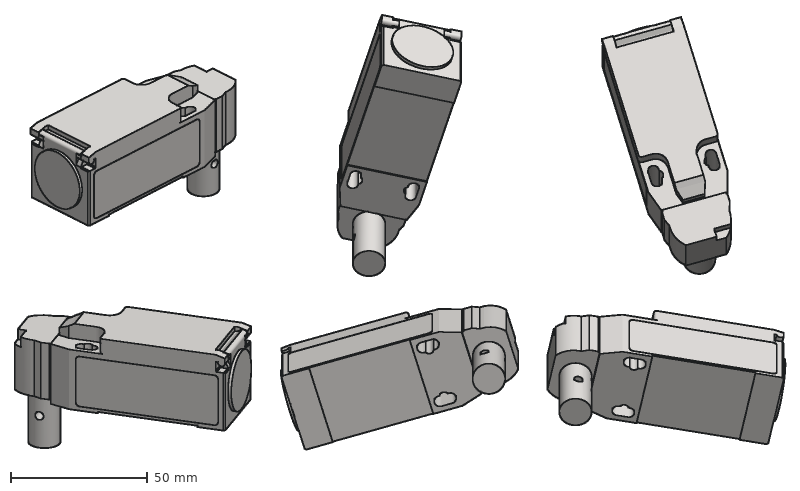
import cadquery as cq
import math


width = 30.2
half_width = width / 2
height = 30.15
length = 68.3
shoulder_z = 24.1
taper_y = 60.3
rear_half_width = 12.6
cover_end_y = 48.5
cover_corner_radius = 1.0

tongue_half_width = 5.5
tongue_tip_half_width = 4.2
tongue_tip_y = 67.7
tongue_neck_y = 63.7
tongue_root_radius = 4.7
tongue_slope_y = 61.5
tongue_neck_z = 29.0
tongue_tip_z = 27.1

slot_x = 11.0
slot_y = 54.9
slot_width = 4.1
slot_length = 8.3
slot_lobe_offset = 1.4
slot_lobe_radius = 1.7

label_y_min = 2.6
label_y_max = 57.75
label_z_min = 1.7
label_z_max = 21.8
label_radius = 1.5
label_depth = 0.1
relief_y_min = 10.65
relief_y_max = 49.15
relief_depth = 0.5

front_slope_length = 3.6
front_slope_drop = 1.0
front_edge_chamfer = 0.6
barrel_radius = 1.4
barrel_z = 27.2
notch_inner_x = 10.9
notch_depth = 3.6
notch_floor_z = 23.25
notch_roof_z = 27.3
notch_lip = 0.4
pocket_inner_x = 8.5
pocket_top_z = 28.1
front_clearance = 0.85
ledge_mid_y = 0.715
ledge_mid_z = 24.7
hinge_slot_depth = 5.0
hinge_floor_end_y = 4.0
hinge_floor_z = 28.3
hinge_floor_radius = 1.3
ridge_y = 2.0
ridge_z = 29.6
nose_y = 0.7
nose_z = 29.1
disc_diameter = 23.2
disc_thickness = 1.3
disc_z = 14.05

head_end_y = 83.9
head_bottom_z = 1.5
head_end_half_width = 7.75
head_mid_half_width = 11.4
head_base_half_width = 12.5
head_neck_half_width = 12.2
head_neck_length = 0.6
head_flare_y = 72.2
head_arc_y = 76.5
head_arc_mid = (10.4, 80.4)
head_notch_x = 4.0
head_notch_length = 3.2
head_notch_height = 4.1

shaft_diameter = 11.9
shaft_y = 75.0
shaft_bottom_z = -21.55
cross_hole_diameter = 3.2
cross_hole_z = -8.7

both_sides = (-1, 1)


def box(x_min, x_max, y_min, y_max, z_min, z_max):
    """Axis-aligned box between the given limits."""
    size = (x_max - x_min, y_max - y_min, z_max - z_min)
    return cq.Workplane("XY").box(*size, centered=False).translate((x_min, y_min, z_min))


def across(profile, x_min, x_max):
    """Extrude a closed YZ profile along X between two limits."""
    return profile.extrude(x_max - x_min).translate((x_min, 0, 0))


def mirrored(half):
    """A left-hand feature together with its mirror image across X = 0."""
    return half.union(half.mirror("YZ"))


def lower_block():
    outline = [
        (-half_width, 0),
        (half_width, 0),
        (half_width, taper_y),
        (rear_half_width, length),
        (-rear_half_width, length),
        (-half_width, taper_y),
    ]
    return cq.Workplane("XY").polyline(outline).close().extrude(shoulder_z)


def upper_block():
    """Full-width upper part with its tongue, sloped at both ends."""
    outline = [
        (-half_width, 0),
        (half_width, 0),
        (half_width, cover_end_y),
        (tongue_half_width, cover_end_y),
        (tongue_half_width, tongue_neck_y),
        (tongue_tip_half_width, tongue_tip_y),
        (-tongue_tip_half_width, tongue_tip_y),
        (-tongue_half_width, tongue_neck_y),
        (-tongue_half_width, cover_end_y),
        (-half_width, cover_end_y),
    ]
    block = cq.Workplane("XY").polyline(outline).close().extrude(height - shoulder_z)
    block = block.translate((0, 0, shoulder_z))
    for x, radius in ((tongue_half_width, tongue_root_radius), (half_width, cover_corner_radius)):
        for side in both_sides:
            corner = cq.selectors.NearestToPointSelector((side * x, cover_end_y, (shoulder_z + height) / 2))
            block = block.edges("|Z").edges(corner).fillet(radius)

    side_outline = [
        (0, shoulder_z),
        (0, height - front_slope_drop),
        (front_slope_length, height),
        (tongue_slope_y, height),
        (tongue_neck_y, tongue_neck_z),
        (tongue_tip_y, tongue_tip_z),
        (tongue_tip_y, shoulder_z),
    ]
    sloped = across(cq.Workplane("YZ").polyline(side_outline).close(), -half_width, half_width)
    return block.intersect(sloped)


def mounting_slots():
    """Upright slots, each with a round lobe on its inner side."""
    slot = cq.Workplane("XY").center(-slot_x, slot_y).slot2D(slot_length, slot_width, 90).extrude(shoulder_z)
    lobe = cq.Workplane("XY").center(-slot_x + slot_lobe_offset, slot_y).circle(slot_lobe_radius)
    return mirrored(slot.union(lobe.extrude(shoulder_z)))


def label_recesses():
    panel = box(
        -half_width, -half_width + label_depth, label_y_min, label_y_max, label_z_min, label_z_max
    )
    return mirrored(panel.edges("|X").fillet(label_radius))


def front_edge_cuts():
    """Bevels on the upright front edges, below the corner notches."""
    bevel = (
        cq.Workplane("XY")
        .moveTo(-half_width, 0)
        .lineTo(-half_width + front_edge_chamfer, 0)
        .lineTo(-half_width, front_edge_chamfer)
        .close()
        .extrude(notch_floor_z)
    )
    return mirrored(bevel)


def corner_notches():
    """Side notches under the hinge barrel, open to the front and to the sides."""
    profile = (
        cq.Workplane("YZ")
        .moveTo(0, notch_floor_z - notch_lip)
        .lineTo(notch_lip, notch_floor_z)
        .lineTo(notch_depth - notch_lip, notch_floor_z)
        .lineTo(notch_depth, notch_floor_z + notch_lip)
        .lineTo(notch_depth, notch_roof_z)
        .lineTo(2 * barrel_radius, notch_roof_z)
        .lineTo(2 * barrel_radius, barrel_z)
        .threePointArc((barrel_radius, barrel_z - barrel_radius), (0, barrel_z))
        .close()
    )
    return mirrored(across(profile, -half_width, -notch_inner_x))


def barrel_pockets():
    """Front pockets beside the notches that expose the barrel above a rounded ledge."""
    barrel_top_y = barrel_radius - math.sqrt(barrel_radius**2 - (pocket_top_z - barrel_z) ** 2)
    profile = (
        cq.Workplane("YZ")
        .moveTo(-front_clearance, notch_floor_z)
        .lineTo(0, notch_floor_z)
        .threePointArc((ledge_mid_y, ledge_mid_z), (barrel_radius, barrel_z - barrel_radius))
        .threePointArc((0, barrel_z), (barrel_top_y, pocket_top_z))
        .lineTo(-front_clearance, pocket_top_z)
        .close()
    )
    return mirrored(across(profile, -notch_inner_x, -pocket_inner_x))


def hinge_slot():
    """Space above the ridged hinge bar in the front top edge."""
    nose_rise = nose_z - pocket_top_z
    nose_radius = (nose_y**2 + nose_rise**2) / (2 * nose_y)
    nose_half_angle = math.asin(nose_rise / nose_radius) / 2
    nose_mid = (
        nose_radius * (1 - math.cos(nose_half_angle)),
        pocket_top_z + nose_radius * math.sin(nose_half_angle),
    )
    profile = (
        cq.Workplane("YZ")
        .moveTo(-front_clearance, pocket_top_z)
        .lineTo(0, pocket_top_z)
        .threePointArc(nose_mid, (nose_y, nose_z))
        .lineTo(ridge_y, ridge_z)
        .lineTo(hinge_floor_end_y, hinge_floor_z)
        .lineTo(hinge_slot_depth, hinge_floor_z)
        .lineTo(hinge_slot_depth, height)
        .lineTo(-front_clearance, height)
        .close()
    )
    floor_end = cq.selectors.NearestToPointSelector((0, hinge_floor_end_y, hinge_floor_z))
    space = across(profile, -notch_inner_x, notch_inner_x)
    return space.edges("|X").edges(floor_end).fillet(hinge_floor_radius)


def cable_entry_disc():
    disc = cq.Workplane("XZ").center(0, disc_z).circle(disc_diameter / 2)
    return disc.extrude(disc_thickness)


def make_housing():
    body = lower_block().union(upper_block())
    body = body.cut(mounting_slots())
    body = body.cut(label_recesses())
    body = body.cut(box(-half_width, half_width, relief_y_min, relief_y_max, 0, relief_depth))
    body = body.cut(front_edge_cuts())
    body = body.cut(corner_notches())
    body = body.cut(barrel_pockets())
    body = body.cut(hinge_slot())
    return body.union(cable_entry_disc())


def make_head():
    arc_mid_x, arc_mid_y = head_arc_mid
    neck_y = length + head_neck_length
    head = (
        cq.Workplane("XY")
        .moveTo(-head_neck_half_width, length)
        .lineTo(head_neck_half_width, length)
        .lineTo(head_neck_half_width, neck_y)
        .lineTo(head_base_half_width, neck_y)
        .lineTo(head_base_half_width, head_flare_y)
        .lineTo(head_mid_half_width, shaft_y)
        .lineTo(head_mid_half_width, head_arc_y)
        .threePointArc((arc_mid_x, arc_mid_y), (head_end_half_width, head_end_y))
        .lineTo(-head_end_half_width, head_end_y)
        .threePointArc((-arc_mid_x, arc_mid_y), (-head_mid_half_width, head_arc_y))
        .lineTo(-head_mid_half_width, shaft_y)
        .lineTo(-head_base_half_width, head_flare_y)
        .lineTo(-head_base_half_width, neck_y)
        .lineTo(-head_neck_half_width, neck_y)
        .close()
        .extrude(shoulder_z - head_bottom_z)
        .translate((0, 0, head_bottom_z))
    )
    corner_notch = box(
        -head_base_half_width, -head_notch_x,
        head_end_y - head_notch_length, head_end_y,
        shoulder_z - head_notch_height, shoulder_z,
    )
    return head.cut(corner_notch)


def make_shaft():
    """Round shaft that meets the underside of the head, with a cross hole along X."""
    shaft = cq.Workplane("XY").center(0, shaft_y).circle(shaft_diameter / 2)
    shaft = shaft.extrude(head_bottom_z - shaft_bottom_z).translate((0, 0, shaft_bottom_z))
    cross_hole = cq.Workplane("YZ").center(shaft_y, cross_hole_z).circle(cross_hole_diameter / 2)
    return shaft.cut(cross_hole.extrude(shaft_diameter, both=True))


housing = make_housing()
head = make_head()
shaft = make_shaft()

result = cq.Compound.makeCompound([housing.val(), head.val(), shaft.val()])